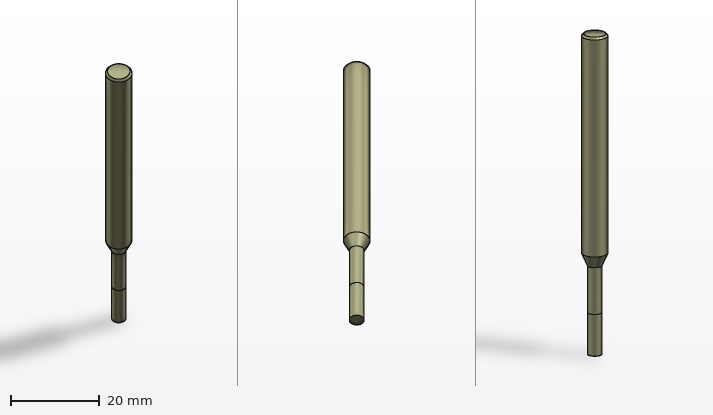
import cadquery as cq
import math

total_length = 76.6
shank_diameter = 6.0
drill_diameter = 3.3

cutter_top = 10.5
neck_top = 21.6
cone_top = 24.6

point_angle = 140.0
chamfer_width = 0.45
chamfer_height = 0.5

shank_radius = shank_diameter / 2
drill_radius = drill_diameter / 2
point_height = drill_radius / math.tan(math.radians(point_angle / 2))


def revolve_profile(points):
    """Revolve a closed (radius, height) outline about the Z axis."""
    return cq.Workplane("XZ").polyline(points).close().revolve(360, (0, 0), (0, 1))


def make_cutter():
    """Cylindrical cutting end with a shallow conical point."""
    return revolve_profile([
        (0, 0),
        (drill_radius, point_height),
        (drill_radius, cutter_top),
        (0, cutter_top),
    ])


def make_shank():
    """Neck, conical transition and shank with a chamfered top end."""
    return revolve_profile([
        (0, cutter_top),
        (drill_radius, cutter_top),
        (drill_radius, neck_top),
        (shank_radius, cone_top),
        (shank_radius, total_length - chamfer_height),
        (shank_radius - chamfer_width, total_length),
        (0, total_length),
    ])


cutter = make_cutter()
shank = make_shank()

result = cq.Compound.makeCompound([cutter.val(), shank.val()])